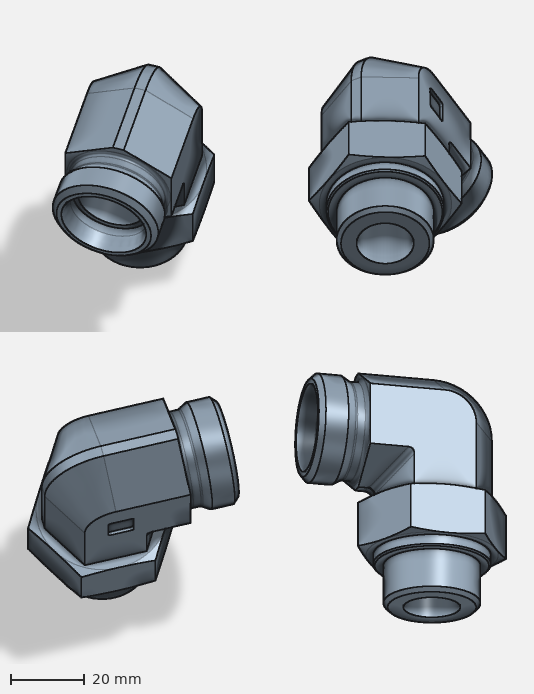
import cadquery as cq
import math

TOTAL_HEIGHT = 65.45
BLOCK_REACH = 16.5
BLOCK_WIDTH = 30.1
BLOCK_FRONT = -21.0
INNER_CORNER_RADIUS = 2.0
PORT_AXIS_Z = TOTAL_HEIGHT - BLOCK_REACH

THREAD_DIAMETER = 26.45
STUD_END_CHAMFER = 1.2
STUD_BORE_DIAMETER = 15.5

PORT_TIP = -35.0
PORT_DIAMETER = 30.0
PORT_NECK_DIAMETER = 27.0
PORT_BARREL_START = -27.1
PORT_SHOULDER_ANGLE = 30.0
PORT_TIP_CHAMFER = 1.6
NECK_RADIUS = 1.1
PORT_BORE_DIAMETER = 19.0
SEAT_DIAMETER = 22.0
SEAT_MOUTH_DIAMETER = 24.1
SEAT_CONE_ANGLE = 12.0
SEAT_DEPTH = 7.5
DRILL_HALF_ANGLE = 59.0

BADGE_LENGTH = 7.2
BADGE_HEIGHT = 7.0
BADGE_CENTER_Y = -1.5
BADGE_CENTER_Z = 47.6
BADGE_CORNER_RADIUS = 0.8
BADGE_DEPTH = 1.0

NUT_WIDTH = 36.0
NUT_BOTTOM = 15.2
NUT_TOP = 29.2
NUT_CHAMFER_ANGLE = 15.0
COLLAR_DIAMETER = 32.0
COLLAR_BOTTOM = 12.05
COLLAR_CHAMFER = 0.45


def tan_deg(angle):
    return math.tan(math.radians(angle))


def block_half_outline():
    """Upper half of the hexagonal leg section, cut flat at its ridge."""
    side = BLOCK_WIDTH / 2
    side_edge = side * tan_deg(30)
    ridge_half_width = (2 * side_edge - BLOCK_REACH) / tan_deg(30)
    return [
        (-side, 0),
        (-side, side_edge),
        (-ridge_half_width, BLOCK_REACH),
        (ridge_half_width, BLOCK_REACH),
        (side, side_edge),
        (side, 0),
    ]


def block_outline():
    upper = block_half_outline()
    ridge_side = upper[1:-1]
    return ridge_side + [(-x, -height) for x, height in ridge_side]


def on_inner_corner(edge):
    """True for the edges of the concave corner, on the mitre plane of the legs."""
    tolerance = 0.005
    middle = edge.Center()
    box = edge.BoundingBox()
    on_mitre = abs(middle.z - PORT_AXIS_Z - middle.y) < tolerance
    below_sides = middle.y < -BLOCK_WIDTH / 2 * tan_deg(30)
    across = box.xlen > tolerance
    return on_mitre and below_sides and across


def make_block():
    vertical_leg = (
        cq.Workplane("XY", origin=(0, 0, NUT_TOP))
        .polyline(block_outline())
        .close()
        .extrude(PORT_AXIS_Z - NUT_TOP)
    )
    horizontal_leg = (
        cq.Workplane("XZ", origin=(0, 0, PORT_AXIS_Z))
        .polyline(block_outline())
        .close()
        .extrude(-BLOCK_FRONT)
    )
    bend = (
        cq.Workplane("XZ", origin=(0, 0, PORT_AXIS_Z))
        .polyline(block_half_outline())
        .close()
        .revolve(90, (0, 0, 0), (-1, 0, 0))
    )
    block = vertical_leg.union(horizontal_leg).union(bend)
    corner_edges = [edge for edge in block.edges().vals() if on_inner_corner(edge)]
    return block.newObject(corner_edges).fillet(INNER_CORNER_RADIUS)


def make_port():
    neck = PORT_NECK_DIAMETER / 2
    barrel = PORT_DIAMETER / 2
    shoulder_length = (barrel - neck) / tan_deg(PORT_SHOULDER_ANGLE)
    shoulder_start = PORT_BARREL_START + shoulder_length
    tangent = NECK_RADIUS * tan_deg(PORT_SHOULDER_ANGLE / 2)
    tangent_drop = tangent * math.cos(math.radians(PORT_SHOULDER_ANGLE))
    tangent_rise = tangent * math.sin(math.radians(PORT_SHOULDER_ANGLE))
    return (
        cq.Workplane("XY", origin=(0, 0, PORT_AXIS_Z))
        .moveTo(0, BLOCK_FRONT)
        .lineTo(neck + NECK_RADIUS, BLOCK_FRONT)
        .radiusArc((neck, BLOCK_FRONT - NECK_RADIUS), -NECK_RADIUS)
        .lineTo(neck, shoulder_start + tangent)
        .radiusArc((neck + tangent_rise, shoulder_start - tangent_drop), -NECK_RADIUS)
        .lineTo(barrel, PORT_BARREL_START)
        .lineTo(barrel, PORT_TIP + PORT_TIP_CHAMFER)
        .lineTo(barrel - PORT_TIP_CHAMFER, PORT_TIP)
        .lineTo(0, PORT_TIP)
        .close()
        .revolve(360, (0, 0, 0), (0, 1, 0))
    )


def make_stud():
    return (
        cq.Workplane("XY")
        .circle(THREAD_DIAMETER / 2)
        .extrude(NUT_TOP)
        .faces("<Z")
        .chamfer(STUD_END_CHAMFER)
    )


def make_port_bore():
    """Sealing cone, tube seat and a drilled bore whose point starts at the stud axis."""
    bore = PORT_BORE_DIAMETER / 2
    seat = SEAT_DIAMETER / 2
    mouth = SEAT_MOUTH_DIAMETER / 2
    outline = [
        (0, PORT_TIP),
        (mouth, PORT_TIP),
        (seat, PORT_TIP + (mouth - seat) / tan_deg(SEAT_CONE_ANGLE)),
        (seat, PORT_TIP + SEAT_DEPTH),
        (bore, PORT_TIP + SEAT_DEPTH),
        (bore, 0),
        (0, bore / tan_deg(DRILL_HALF_ANGLE)),
    ]
    return (
        cq.Workplane("XY", origin=(0, 0, PORT_AXIS_Z))
        .polyline(outline)
        .close()
        .revolve(360, (0, 0, 0), (0, 1, 0))
    )


def make_stud_bore():
    """Drilled bore whose point starts at the port axis."""
    bore = STUD_BORE_DIAMETER / 2
    outline = [
        (0, 0),
        (bore, 0),
        (bore, PORT_AXIS_Z),
        (0, PORT_AXIS_Z + bore / tan_deg(DRILL_HALF_ANGLE)),
    ]
    return cq.Workplane("YZ").polyline(outline).close().revolve(360, (0, 0, 0), (0, 1, 0))


def make_badge_recess():
    """Shallow rounded recess in the -X side of the block."""
    return (
        cq.Workplane("YZ", origin=(-BLOCK_WIDTH / 2, BADGE_CENTER_Y, BADGE_CENTER_Z))
        .rect(BADGE_LENGTH, BADGE_HEIGHT)
        .extrude(BADGE_DEPTH)
        .edges("|X")
        .fillet(BADGE_CORNER_RADIUS)
    )


def make_elbow():
    solid_elbow = make_block().union(make_port()).union(make_stud())
    return solid_elbow.cut(make_port_bore()).cut(make_stud_bore()).cut(make_badge_recess())


def make_nut_chamfer_envelope():
    """Turned shape that bevels the hexagon's corners at both ends."""
    flat = NUT_WIDTH / 2
    corner = flat / math.cos(math.radians(30))
    drop = (corner - flat) * tan_deg(NUT_CHAMFER_ANGLE)
    outline = [
        (0, NUT_BOTTOM),
        (flat, NUT_BOTTOM),
        (corner, NUT_BOTTOM + drop),
        (corner, NUT_TOP - drop),
        (flat, NUT_TOP),
        (0, NUT_TOP),
    ]
    return cq.Workplane("XZ").polyline(outline).close().revolve(360, (0, 0, 0), (0, 1, 0))


def make_nut():
    """Hexagon nut with a round collar below, threaded onto the stud."""
    hexagon = (
        cq.Workplane("XY", origin=(0, 0, NUT_BOTTOM))
        .polygon(6, NUT_WIDTH, circumscribed=True)
        .extrude(NUT_TOP - NUT_BOTTOM)
        .intersect(make_nut_chamfer_envelope())
    )
    collar = (
        cq.Workplane("XY", origin=(0, 0, COLLAR_BOTTOM))
        .circle(COLLAR_DIAMETER / 2)
        .extrude(NUT_BOTTOM - COLLAR_BOTTOM)
        .faces("<Z")
        .chamfer(COLLAR_CHAMFER)
    )
    stud_hole = cq.Workplane("XY").circle(THREAD_DIAMETER / 2).extrude(NUT_TOP)
    return hexagon.union(collar).cut(stud_hole)


elbow = make_elbow()
nut = make_nut()
result = cq.Compound.makeCompound([elbow.solids().val(), nut.solids().val()])